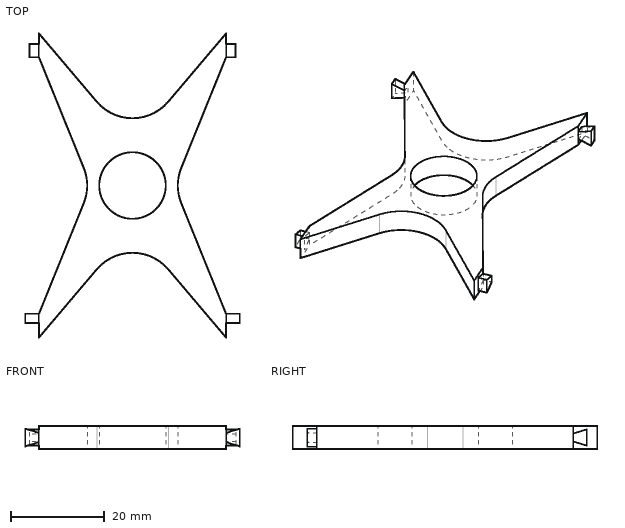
import cadquery as cq

length = 65.0
thickness = 5.0
arm_span = 40.0
tip_flat = 5.15
waist_reach = 8.9
inner_radius = 10.0
bore_diameter = 14.2

upper_reach = 2.0
upper_inset = 2.3
upper_wide = 3.45
upper_narrow = 1.7

lower_reach = 2.9
lower_width = 2.0
lower_wide = 3.85
lower_narrow = 1.95

half_length = length / 2
half_span = arm_span / 2
shoulder = half_length - tip_flat


def star_plate():
    corners = [
        (half_span, half_length),
        (0, waist_reach),
        (-half_span, half_length),
        (-half_span, shoulder),
        (-waist_reach, 0),
        (-half_span, -shoulder),
        (-half_span, -half_length),
        (0, -waist_reach),
        (half_span, -half_length),
        (half_span, -shoulder),
        (waist_reach, 0),
        (half_span, shoulder),
    ]
    plate = cq.Workplane("XY").polyline(corners).close().extrude(thickness / 2, both=True)
    inner_box = cq.selectors.BoxSelector(
        (-half_span / 2, -half_length / 2, -thickness),
        (half_span / 2, half_length / 2, thickness),
    )
    plate = plate.edges("|Z").edges(inner_box).fillet(inner_radius)
    return plate.faces(">Z").workplane(origin=(0, 0, 0)).hole(bore_diameter)


def dovetail(plane, narrow_at, narrow, wide_at, wide):
    """Symmetric trapezoid sketched on the given plane."""
    return cq.Workplane(plane).polyline([
        (narrow_at, -narrow / 2),
        (wide_at, -wide / 2),
        (wide_at, wide / 2),
        (narrow_at, narrow / 2),
    ]).close()


def upper_peg():
    sketch = dovetail("YZ", shoulder, upper_narrow, half_length - upper_inset, upper_wide)
    return sketch.extrude(upper_reach).translate((half_span, 0, 0))


def lower_peg():
    sketch = dovetail("XZ", half_span, lower_narrow, half_span + lower_reach, lower_wide)
    return sketch.extrude(lower_width).translate((0, -shoulder, 0))


result = star_plate()
for peg in (upper_peg(), lower_peg()):
    result = result.union(peg).union(peg.mirror("YZ"))